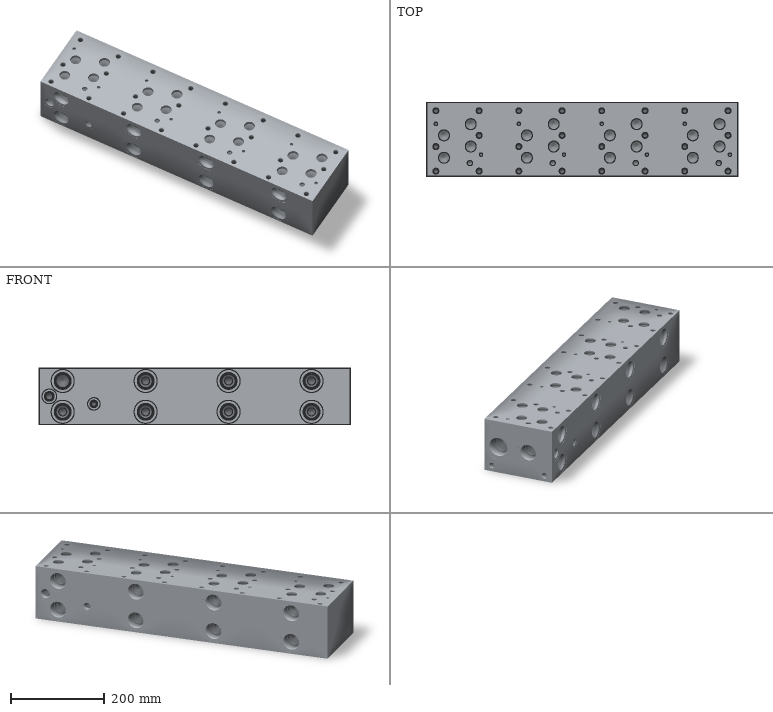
import cadquery as cq
import math

LENGTH = 667.0
WIDTH = 159.0
HEIGHT = 121.0
MID_WIDTH = WIDTH / 2
MID_HEIGHT = HEIGHT / 2

STATION_COUNT = 4
FIRST_BOLT_X = 20.0
LAST_BOLT_MARGIN = 21.5
BOLT_COLUMN_SPACING = 93.0
STATION_SPAN = LENGTH - FIRST_BOLT_X - BOLT_COLUMN_SPACING - LAST_BOLT_MARGIN
STATION_PITCH = STATION_SPAN / (STATION_COUNT - 1)
STATION_OFFSETS = [index * STATION_PITCH for index in range(STATION_COUNT)]

DRILL_POINT_ANGLE = 118.0
SPOTFACE_DEPTH = 0.35
SEAT_HEIGHT = 3.0

BOLT_MOUTH = 13.0
BOLT_DIAMETER = 11.0
BOLT_CHAMFER = (BOLT_MOUTH - BOLT_DIAMETER) / 2
BOLT_DEPTH = 23.5
FRONT_BOLT_Y = 11.5
BACK_BOLT_Y = 141.0
INNER_BOLT_LEFT_Y = 64.0
INNER_BOLT_RIGHT_Y = 88.0
END_BOLT_SPACING = 123.5
END_BOLT_Z = 13.5

CHANNEL_DIAMETER = 23.5
CHANNEL_DEPTH = 7.0
LEFT_CHANNEL_X = 37.5
LEFT_CHANNEL_YS = (40.0, 88.0)
RIGHT_CHANNEL_X = 95.0
RIGHT_CHANNEL_YS = (64.0, 112.0)
DRAIN_DIAMETER = 11.5
DRAIN_DEPTH = 5.5
DRAIN_PLACE = (93.0, 29.0)
PIN_DIAMETER = 7.5
PIN_DEPTH = 5.5
PIN_PLACES = ((FIRST_BOLT_X, 113.0), (117.0, 47.0))

SERVICE_X = 51.0
SERVICE_ROW_SPACING = 66.0
CROSS_DRILL_DIAMETER = 17.5
CROSS_DRILL_DEPTH = 47.0

PILOT_PLACE = (22.0, MID_HEIGHT)
GAUGE_PLACE = (117.5, MID_HEIGHT - 16.0)
TANK_PLACE = (MID_WIDTH + 47.0, MID_HEIGHT)
PRESSURE_PLACE = (MID_WIDTH - 23.5, MID_HEIGHT)


def drilled_hole(steps, end_depth):
    """Cutter with its mouth at Z = 0, running along +Z.

    Each step is a diameter and the depth where it is reached; the last
    diameter runs on to end_depth and closes with a drill point.
    """
    end_radius = steps[-1][0] / 2
    point_height = end_radius / math.tan(math.radians(DRILL_POINT_ANGLE / 2))
    profile = [(0, 0)]
    profile += [(diameter / 2, depth) for diameter, depth in steps]
    profile += [(end_radius, end_depth), (0, end_depth + point_height)]
    return cq.Workplane("XZ").polyline(profile).close().revolve(360, (0, 0), (0, 1))


def threaded_port(spotface, mouth, thread, core, thread_depth, core_depth):
    """Cutter for a port with a spotface, a conical seat, a thread and a core drill."""
    steps = [
        (spotface, 0),
        (spotface, SPOTFACE_DEPTH),
        (mouth, SPOTFACE_DEPTH),
        (thread, SPOTFACE_DEPTH + SEAT_HEIGHT),
        (thread, thread_depth),
        (core, thread_depth),
    ]
    return drilled_hole(steps, core_depth)


def on_front(cutter, x, z):
    return cutter.rotate((0, 0, 0), (1, 0, 0), -90).translate((x, 0, z))


def on_top(cutter, x, y):
    return cutter.rotate((0, 0, 0), (1, 0, 0), 180).translate((x, y, HEIGHT))


def on_left_end(cutter, y, z):
    return cutter.rotate((0, 0, 0), (0, 1, 0), 90).translate((0, y, z))


def large_port():
    return threaded_port(
        spotface=49.5, mouth=36.0, thread=33.5, core=29.0, thread_depth=20.0, core_depth=27.0
    )


def bolt_hole():
    return drilled_hole([(BOLT_MOUTH, 0), (BOLT_DIAMETER, BOLT_CHAMFER)], BOLT_DEPTH)


def service_cutters():
    """Both rows of service ports with the smaller cross drills behind them."""
    port = large_port()
    cross_drill = drilled_hole([(CROSS_DRILL_DIAMETER, 0)], CROSS_DRILL_DEPTH)
    cutters = []
    for station, offset in enumerate(STATION_OFFSETS):
        for side in (-1, 1):
            place = (SERVICE_X + offset, MID_HEIGHT + side * SERVICE_ROW_SPACING / 2)
            cutter = port
            if station > 0 or side < 0:
                cutter = port.union(cross_drill)
            cutters.append(on_front(cutter, *place))
    return cutters


def single_front_cutters():
    """Pilot port at the left end and gauge port beside the first station."""
    pilot = threaded_port(
        spotface=31.5, mouth=21.0, thread=18.0, core=15.0, thread_depth=13.5, core_depth=20.0
    )
    gauge = threaded_port(
        spotface=27.0, mouth=16.0, thread=13.5, core=11.0, thread_depth=11.0, core_depth=17.0
    )
    return [on_front(pilot, *PILOT_PLACE), on_front(gauge, *GAUGE_PLACE)]


def left_end_cutters():
    """Tank and pressure ports above a pair of bolt holes."""
    tank = threaded_port(
        spotface=59.5, mouth=42.0, thread=39.5, core=35.5, thread_depth=20.0, core_depth=27.0
    )
    cutters = [on_left_end(tank, *TANK_PLACE), on_left_end(large_port(), *PRESSURE_PLACE)]
    for side in (-1, 1):
        cutters.append(on_left_end(bolt_hole(), MID_WIDTH + side * END_BOLT_SPACING / 2, END_BOLT_Z))
    return cutters


def valve_face_cutters():
    """Bolt, channel, drain and pin holes of every station."""
    bolt_places = []
    for column, inner_y in enumerate((INNER_BOLT_LEFT_Y, INNER_BOLT_RIGHT_Y)):
        x = FIRST_BOLT_X + column * BOLT_COLUMN_SPACING
        bolt_places += [(x, y) for y in (FRONT_BOLT_Y, inner_y, BACK_BOLT_Y)]
    channel_places = [(LEFT_CHANNEL_X, y) for y in LEFT_CHANNEL_YS]
    channel_places += [(RIGHT_CHANNEL_X, y) for y in RIGHT_CHANNEL_YS]
    layout = (
        (bolt_hole(), bolt_places),
        (drilled_hole([(CHANNEL_DIAMETER, 0)], CHANNEL_DEPTH), channel_places),
        (drilled_hole([(DRAIN_DIAMETER, 0)], DRAIN_DEPTH), [DRAIN_PLACE]),
        (drilled_hole([(PIN_DIAMETER, 0)], PIN_DEPTH), PIN_PLACES),
    )
    cutters = []
    for offset in STATION_OFFSETS:
        for cutter, places in layout:
            cutters += [on_top(cutter, x + offset, y) for x, y in places]
    return cutters


cutters = service_cutters() + single_front_cutters() + left_end_cutters() + valve_face_cutters()
block = cq.Workplane("XY").box(LENGTH, WIDTH, HEIGHT, centered=False)
all_cutters = cq.Compound.makeCompound([cutter.val() for cutter in cutters])
result = block.cut(cq.Workplane("XY").newObject([all_cutters])).solids()